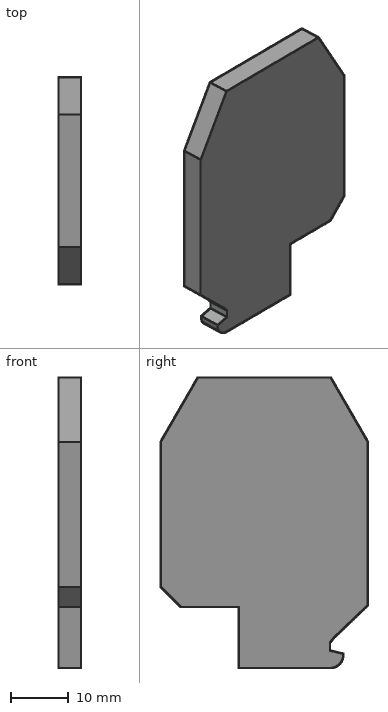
import cadquery as cq
import math

thickness = 4.0
width = 36.0
height = 50.5

top_cut_width = 6.45
top_cut_height = top_cut_width / math.tan(math.radians(30))

shoulder_z = 10.6
shoulder_cut = 3.5
foot_y = 13.55

flank_top_z = 10.9
flank_bend_inset = 5.85
flank_bend_z = 5.3
neck_inset = 6.55
neck_top_z = 4.45
neck_y = width - neck_inset

hook_root_z = 3.1
hook_tip_z = 2.5
hook_radius = 2.3
hook_rise = hook_tip_z - hook_radius
hook_tip_y = neck_y + math.sqrt(hook_radius**2 - hook_rise**2)
arc_middle = hook_radius * math.sqrt(0.5)

outline = (
    cq.Workplane("YZ")
    .moveTo(foot_y, 0)
    .lineTo(foot_y, shoulder_z)
    .lineTo(shoulder_cut, shoulder_z)
    .lineTo(0, shoulder_z + shoulder_cut)
    .lineTo(0, height - top_cut_height)
    .lineTo(top_cut_width, height)
    .lineTo(width - top_cut_width, height)
    .lineTo(width, height - top_cut_height)
    .lineTo(width, flank_top_z)
    .lineTo(width - flank_bend_inset, flank_bend_z)
    .lineTo(neck_y, neck_top_z)
    .lineTo(neck_y, hook_root_z)
    .lineTo(hook_tip_y, hook_tip_z)
    .threePointArc((neck_y + arc_middle, hook_radius - arc_middle), (neck_y, 0))
    .close()
)

result = outline.extrude(thickness)